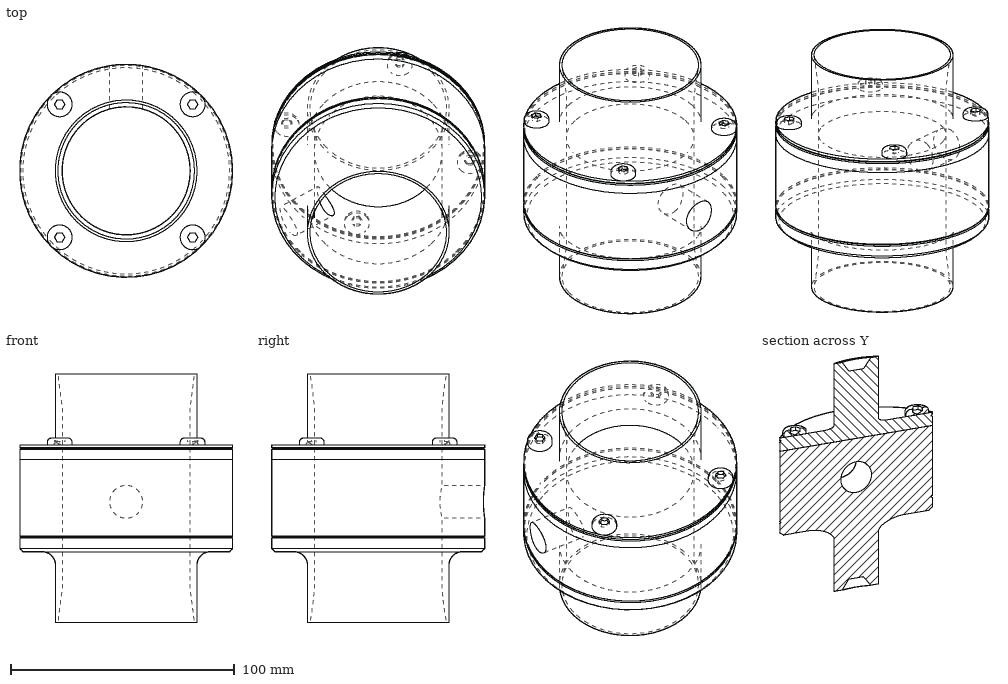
import cadquery as cq
import math

total_height = 111.2
flange_diameter = 95.3
pipe_diameter = 63.4
bore_diameter = 57.1
pipe_length = 31.7
joint_height = 73.0

mouth_diameter = 61.0
mouth_depth = 15.2

cap_fillet = 1.6
housing_fillet = 6.0
bottom_chamfer = 1.5
groove_half_width = 0.5
cap_groove_drop = 1.7
housing_groove_rise = 6.6

port_diameter = 14.7
port_height = 54.0

screw_count = 4
screw_circle_radius = 42.0
head_diameter = 11.1
head_height = 3.1
head_flat_diameter = 7.1
socket_across_flats = 4.0
socket_wall_depth = 1.6
socket_cone_angle = 120.0

flange_radius = flange_diameter / 2
pipe_radius = pipe_diameter / 2
bore_radius = bore_diameter / 2
mouth_radius = mouth_diameter / 2
flange_bottom = pipe_length
flange_top = total_height - pipe_length


def revolve_about_z(profile):
    """Turn a closed half-profile, drawn in XZ, into a solid of revolution about Z."""
    return profile.close().revolve(360, (0, 0, 0), (0, 1, 0))


def corner_arc_mid(center_r, center_z, radius, side):
    """Middle point of a quarter fillet on the pipe; side is +1 if it flares upward, -1 if downward."""
    offset = radius / math.sqrt(2)
    return (center_r - offset, center_z + side * offset)


def add_v_groove(profile, center_z):
    """Continue an upward line on the flange rim past a V-groove."""
    return (
        profile.lineTo(flange_radius, center_z - groove_half_width)
        .lineTo(flange_radius - groove_half_width, center_z)
        .lineTo(flange_radius, center_z + groove_half_width)
    )


def make_housing():
    """Lower pipe, flange and chamber wall, up to the flat joint."""
    fillet_radius_at_flange = pipe_radius + housing_fillet
    fillet_start = flange_bottom - housing_fillet
    profile = (
        cq.Workplane("XZ")
        .moveTo(mouth_radius, 0)
        .lineTo(pipe_radius, 0)
        .lineTo(pipe_radius, fillet_start)
        .threePointArc(
            corner_arc_mid(fillet_radius_at_flange, fillet_start, housing_fillet, 1),
            (fillet_radius_at_flange, flange_bottom),
        )
        .lineTo(flange_radius - bottom_chamfer, flange_bottom)
        .lineTo(flange_radius, flange_bottom + bottom_chamfer)
    )
    profile = (
        add_v_groove(profile, flange_bottom + housing_groove_rise)
        .lineTo(flange_radius, joint_height)
        .lineTo(bore_radius, joint_height)
        .lineTo(bore_radius, mouth_depth)
    )
    port = (
        cq.Workplane("XZ")
        .center(0, port_height)
        .circle(port_diameter / 2)
        .extrude(-flange_diameter)
    )
    return revolve_about_z(profile).cut(port)


def make_cap():
    """Upper pipe and cover plate, down to the flat joint."""
    fillet_radius_at_flange = pipe_radius + cap_fillet
    fillet_end = flange_top + cap_fillet
    profile = (
        cq.Workplane("XZ")
        .moveTo(bore_radius, joint_height)
        .lineTo(flange_radius, joint_height)
    )
    profile = (
        add_v_groove(profile, flange_top - cap_groove_drop)
        .lineTo(flange_radius, flange_top)
        .lineTo(fillet_radius_at_flange, flange_top)
        .threePointArc(
            corner_arc_mid(fillet_radius_at_flange, fillet_end, cap_fillet, -1),
            (pipe_radius, fillet_end),
        )
        .lineTo(pipe_radius, total_height)
        .lineTo(mouth_radius, total_height)
        .lineTo(bore_radius, total_height - mouth_depth)
    )
    return revolve_about_z(profile)


def make_socket():
    """Hexagonal socket with a conical floor, opening at Z = head_height."""
    corner_radius = socket_across_flats / math.sqrt(3)
    cone_depth = corner_radius / math.tan(math.radians(socket_cone_angle / 2))
    corner_floor = head_height - socket_wall_depth
    tip = corner_floor - cone_depth
    hexagon = (
        cq.Workplane("XY", origin=(0, 0, tip))
        .polygon(6, 2 * corner_radius)
        .extrude(head_height - tip)
    )
    drill = revolve_about_z(
        cq.Workplane("XZ")
        .moveTo(0, tip)
        .lineTo(corner_radius, corner_floor)
        .lineTo(corner_radius, head_height)
        .lineTo(0, head_height)
    )
    return hexagon.intersect(drill)


def make_screw(angle):
    """Button-head screw resting on the cap at the given angle (degrees) around Z."""
    head = (
        cq.Workplane("XY")
        .circle(head_diameter / 2)
        .extrude(head_height)
        .faces(">Z")
        .edges()
        .fillet((head_diameter - head_flat_diameter) / 2)
    )
    position = (
        screw_circle_radius * math.cos(math.radians(angle)),
        screw_circle_radius * math.sin(math.radians(angle)),
        flange_top,
    )
    return head.cut(make_socket()).translate(position)


housing = make_housing()
cap = make_cap()
screw_spacing = 360 / screw_count
screws = [make_screw((i + 0.5) * screw_spacing) for i in range(screw_count)]

result = cq.Compound.makeCompound([housing.val(), cap.val(), *[screw.val() for screw in screws]])